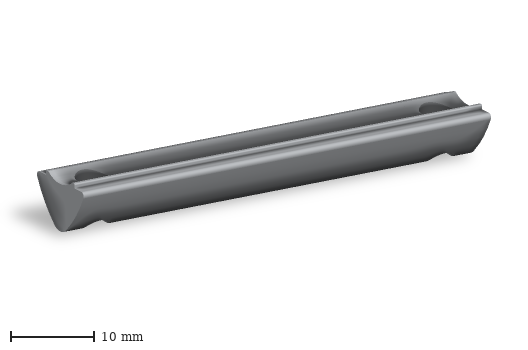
import math

import cadquery as cq

length = 58.0
width = 10.5
height = 6.9

rib_height = 0.6
rib_half_span = 3.25
rib_edge_radius = 0.2

groove_half_width = 2.7
groove_depth = 0.9

shoulder_radius = 0.5
shoulder_end_angle = math.radians(26)
keel_radius = 2.0
keel_end_angle = math.radians(48)

hole_diameter = 4.13
hole_spacing = 49.0

diagonal = math.radians(45)
shoulder_z = height - rib_height
shoulder_center_x = width / 2 - shoulder_radius
shoulder_center_z = shoulder_z - shoulder_radius


def shoulder_point(angle):
    """Point on the +X shoulder arc, with the angle measured up from +X."""
    x = shoulder_center_x + shoulder_radius * math.cos(angle)
    z = shoulder_center_z + shoulder_radius * math.sin(angle)
    return x, z


def flank_middle(upper, lower):
    """Middle of the flank arc, which bulges outward from the chord upper-lower."""
    run = upper[0] - lower[0]
    rise = upper[1] - lower[1]
    chord = math.hypot(run, rise)
    turn = keel_end_angle - shoulder_end_angle
    bulge = chord / 2 * math.tan(turn / 4)
    x = (upper[0] + lower[0]) / 2 + bulge * rise / chord
    z = (upper[1] + lower[1]) / 2 - bulge * run / chord
    return x, z


def mirrored(point):
    """The same profile point on the -X side."""
    return -point[0], point[1]


def make_bar():
    """Extrude the symmetric cross-section along Y, centred on the origin."""
    groove_edge = (groove_half_width, height)
    groove_bottom = (0, height - groove_depth)
    rib_top = (rib_half_span - rib_edge_radius, height)
    rib_side = (rib_half_span, height - rib_edge_radius)
    round_offset = rib_edge_radius * (1 - math.cos(diagonal))
    rib_round = (rib_half_span - round_offset, height - round_offset)
    rib_foot = (rib_half_span, shoulder_z)
    shoulder_start = (shoulder_center_x, shoulder_z)
    shoulder_middle = shoulder_point(diagonal)
    shoulder_end = shoulder_point(-shoulder_end_angle)
    keel_end = (
        keel_radius * math.sin(keel_end_angle),
        keel_radius * (1 - math.cos(keel_end_angle)),
    )
    flank = flank_middle(shoulder_end, keel_end)

    profile = (
        cq.Workplane("XZ")
        .moveTo(*mirrored(groove_edge))
        .threePointArc(groove_bottom, groove_edge)
        .lineTo(*rib_top)
        .threePointArc(rib_round, rib_side)
        .lineTo(*rib_foot)
        .lineTo(*shoulder_start)
        .threePointArc(shoulder_middle, shoulder_end)
        .threePointArc(flank, keel_end)
        .threePointArc((0, 0), mirrored(keel_end))
        .threePointArc(mirrored(flank), mirrored(shoulder_end))
        .threePointArc(mirrored(shoulder_middle), mirrored(shoulder_start))
        .lineTo(*mirrored(rib_foot))
        .lineTo(*mirrored(rib_side))
        .threePointArc(mirrored(rib_round), mirrored(rib_top))
        .close()
    )
    return profile.extrude(length / 2, both=True)


def make_holes():
    """Vertical through holes near both ends."""
    return (
        cq.Workplane("XY")
        .pushPoints([(0, -hole_spacing / 2), (0, hole_spacing / 2)])
        .circle(hole_diameter / 2)
        .extrude(height)
    )


result = make_bar().cut(make_holes())